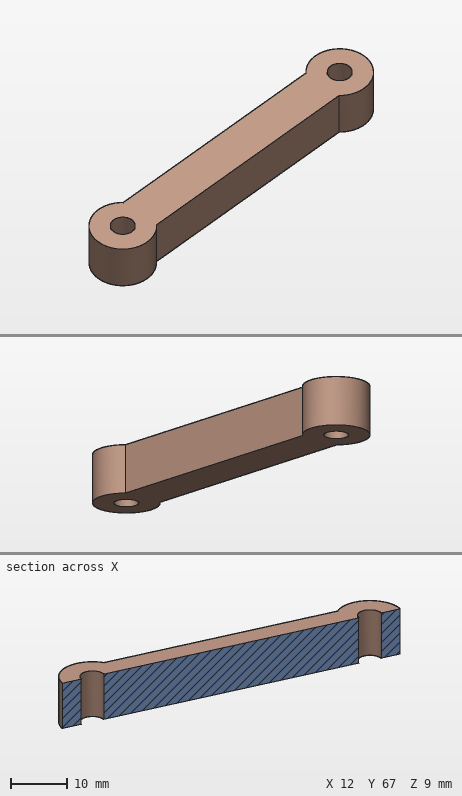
import cadquery as cq

overall_length = 67.0
end_diameter = 12.0
hole_diameter = 4.4
bar_width = 8.25
thickness = 9.0

hole_spacing = overall_length - end_diameter
end_centers = [(0, -hole_spacing / 2), (0, hole_spacing / 2)]

bar = cq.Workplane("XY").rect(bar_width, hole_spacing).extrude(thickness)

bosses = cq.Workplane("XY").pushPoints(end_centers).circle(end_diameter / 2).extrude(thickness)

holes = cq.Workplane("XY").pushPoints(end_centers).circle(hole_diameter / 2).extrude(thickness)

result = bar.union(bosses).cut(holes)